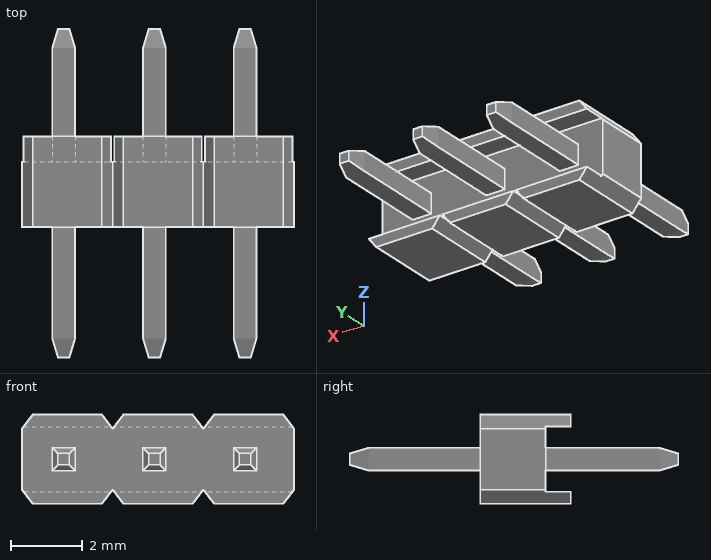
import cadquery as cq

pin_count = 3
pitch = 2.54
housing_height = 2.5
housing_depth = 2.54
corner_width = 0.3
corner_height = 0.4
front_face_y = -0.95

channel_depth = 0.71
lip_thickness = 0.34

pin_length = 9.2
pin_width = 0.64
tip_width = 0.32
taper_length = 0.53
pin_offset_x = -0.1

row_length = pin_count * pitch
back_face_y = front_face_y + housing_depth
cell_centres = [(i - (pin_count - 1) / 2) * pitch for i in range(pin_count)]


def make_housing():
    """Extrude the outline of the joined cells from the front face to the back."""
    half_height = housing_height / 2
    side_z = half_height - corner_height
    half_top = pitch / 2 - corner_width
    upper_edge = [(-row_length / 2, side_z)]
    for x in cell_centres:
        upper_edge += [
            (x - half_top, half_height),
            (x + half_top, half_height),
            (x + pitch / 2, side_z),
        ]
    lower_edge = [(x, -z) for x, z in reversed(upper_edge)]
    return (
        cq.Workplane("XZ", origin=(0, back_face_y, 0))
        .polyline(upper_edge + lower_edge)
        .close()
        .extrude(housing_depth)
    )


def make_channel():
    """Block that opens the back of the housing along the whole row."""
    channel_height = housing_height - 2 * lip_thickness
    return cq.Workplane("XY").box(row_length, channel_depth, channel_height).translate(
        (0, back_face_y - channel_depth / 2, 0)
    )


def make_pin(x):
    """Square pin along Y with a pyramidal taper at each end."""
    shank_length = pin_length - 2 * taper_length
    pin = cq.Workplane("XY").box(pin_width, shank_length, pin_width)
    for end_face in ("<Y", ">Y"):
        taper = (
            pin.faces(end_face)
            .workplane(centerOption="CenterOfMass")
            .rect(pin_width, pin_width)
            .workplane(offset=taper_length)
            .rect(tip_width, tip_width)
            .loft(combine=False)
        )
        pin = pin.union(taper)
    return pin.translate((x, 0, 0))


result = make_housing().cut(make_channel())
for centre_x in cell_centres:
    result = result.union(make_pin(centre_x + pin_offset_x))